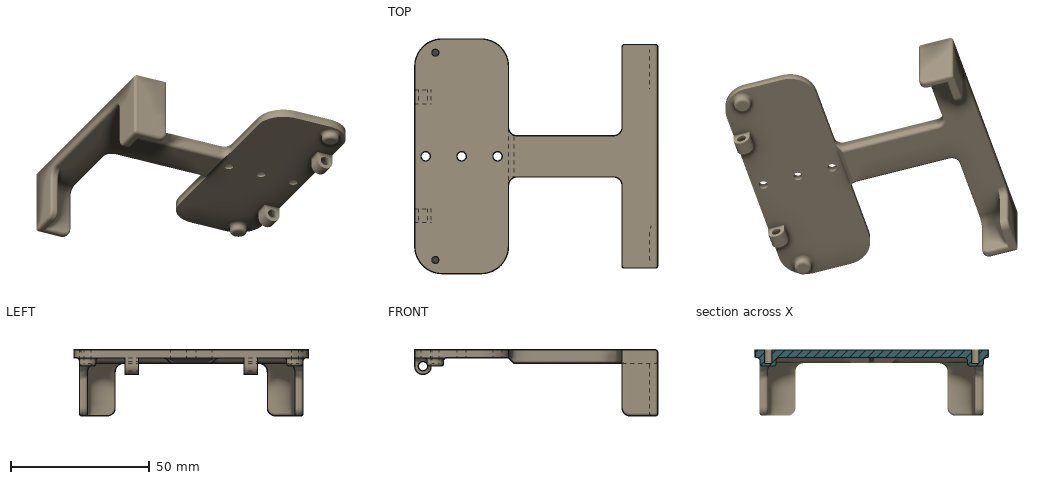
import cadquery as cq

PLATE_LENGTH = 34.0
PLATE_WIDTH = 85.0
PLATE_THICKNESS = 3.0
PLATE_CORNER_RADIUS = 10.0

ROW_HOLE_DIAMETER = 3.3
ROW_HOLE_FIRST_X = 4.0
ROW_HOLE_PITCH = 13.0
ROW_HOLE_COUNT = 3

BOSS_X = 7.5
BOSS_OFFSET_Y = 37.5
BOSS_DIAMETER = 6.0
BOSS_HEIGHT = 3.0
BOSS_ROUNDING = 1.0
BOSS_HOLE_DIAMETER = 2.5
BOSS_HOLE_DEPTH = 5.0

LUG_OFFSET_Y = 21.5
LUG_WIDTH = 5.0
LUG_RADIUS = 3.0
LUG_AXIS_Z = -6.0
LUG_HOLE_DIAMETER = 3.3

ARM_WIDTH = 15.0
ARM_THICKNESS = 5.0
ARM_CORNER_RADIUS = 3.0

TOTAL_LENGTH = 88.0
BRACKET_LENGTH = 13.0
BRACKET_WIDTH = 81.0
BRACKET_HEIGHT = 24.0
LEG_WALL = 3.0
LEG_CORNER_RADIUS = 3.0
LEG_PANEL_WIDTH = 13.0
EDGE_ROUNDING = 1.0

BRACKET_X = TOTAL_LENGTH - BRACKET_LENGTH
PANEL_X = TOTAL_LENGTH - LEG_WALL
SIDES = (-1, 1)


def box(x_range, y_range, z_range):
    """Axis-aligned box spanning the given (low, high) ranges."""
    lows, highs = zip(x_range, y_range, z_range)
    sizes = [high - low for low, high in zip(lows, highs)]
    return cq.Workplane("XY").box(*sizes, centered=False).translate(lows)


def centred(width):
    """Range of the given width centred on zero."""
    return (-width / 2, width / 2)


def make_arch():
    """Crossbar and the two side walls, open at the bottom."""
    arch = box((BRACKET_X, TOTAL_LENGTH), centred(BRACKET_WIDTH), (-BRACKET_HEIGHT, 0))
    opening = box(
        (BRACKET_X, TOTAL_LENGTH),
        centred(BRACKET_WIDTH - 2 * LEG_WALL),
        (-BRACKET_HEIGHT, -ARM_THICKNESS),
    )
    opening = opening.edges("|X and >Z").fillet(LEG_CORNER_RADIUS)
    arch = arch.cut(opening)
    return arch.edges("|Y and <X and <Z").fillet(LEG_CORNER_RADIUS)


def make_arm_and_arch():
    """Arm blended into the arch, with the lower and outer edges on the -X side rounded."""
    plate_block = box((0, PLATE_LENGTH), centred(PLATE_WIDTH), (-ARM_THICKNESS, 0))
    arm = box((PLATE_LENGTH, BRACKET_X), centred(ARM_WIDTH), (-ARM_THICKNESS, 0))
    body = make_arch().union(arm).union(plate_block)

    for x in (PLATE_LENGTH, BRACKET_X):
        for side in SIDES:
            corner = (x, side * ARM_WIDTH / 2, -ARM_THICKNESS / 2)
            body = body.edges(cq.NearestToPointSelector(corner)).fillet(ARM_CORNER_RADIUS)

    arm_middle_x = (PLATE_LENGTH + BRACKET_X) / 2
    for side in SIDES:
        inner_edge = (arm_middle_x, side * ARM_WIDTH / 2, -ARM_THICKNESS)
        outer_edge = (BRACKET_X, side * BRACKET_WIDTH / 2, -BRACKET_HEIGHT / 2)
        for point in (inner_edge, outer_edge):
            body = body.edges(cq.NearestToPointSelector(point)).fillet(EDGE_ROUNDING)

    ramp = ARM_THICKNESS - PLATE_THICKNESS
    clearance = (
        cq.Workplane("XZ", origin=(0, PLATE_WIDTH / 2, 0))
        .lineTo(PLATE_LENGTH, 0)
        .lineTo(PLATE_LENGTH, -PLATE_THICKNESS)
        .lineTo(PLATE_LENGTH + ramp, -ARM_THICKNESS)
        .lineTo(0, -ARM_THICKNESS)
        .close()
        .extrude(PLATE_WIDTH)
    )
    return body.cut(clearance)


def make_panel(side):
    """Back panel of one leg (side -1 or +1 along Y), flaring into the crossbar at its inner top corner."""
    outer_y = side * BRACKET_WIDTH / 2
    inner_y = outer_y - side * LEG_PANEL_WIDTH
    flare_y = inner_y - side * LEG_CORNER_RADIUS
    buried_y = flare_y - side * LEG_WALL
    panel = (
        cq.Workplane("YZ", origin=(PANEL_X, 0, 0))
        .moveTo(outer_y, -EDGE_ROUNDING)
        .lineTo(outer_y, -BRACKET_HEIGHT)
        .lineTo(inner_y + side * LEG_CORNER_RADIUS, -BRACKET_HEIGHT)
        .radiusArc((inner_y, -BRACKET_HEIGHT + LEG_CORNER_RADIUS), side * LEG_CORNER_RADIUS)
        .lineTo(inner_y, -ARM_THICKNESS - LEG_CORNER_RADIUS)
        .radiusArc((flare_y, -ARM_THICKNESS), side * -LEG_CORNER_RADIUS)
        .lineTo(buried_y, -ARM_THICKNESS)
        .lineTo(buried_y, -EDGE_ROUNDING)
        .close()
        .extrude(LEG_WALL)
    )
    if side < 0:
        inner_edge = (PANEL_X, inner_y, -BRACKET_HEIGHT / 2)
        panel = panel.edges(cq.NearestToPointSelector(inner_edge)).fillet(EDGE_ROUNDING)
    outer_corner = (PANEL_X + LEG_WALL / 2, outer_y, -BRACKET_HEIGHT)
    return panel.edges(cq.NearestToPointSelector(outer_corner)).fillet(EDGE_ROUNDING)


def make_frame():
    """Arm and complete end bracket, with the outline of its +X face rounded."""
    frame = make_arm_and_arch()
    for side in SIDES:
        frame = frame.union(make_panel(side))
    return frame.clean().faces(">X").edges().fillet(EDGE_ROUNDING)


def make_plate():
    """Flat plate with rounded corners."""
    plate = box((0, PLATE_LENGTH), centred(PLATE_WIDTH), (-PLATE_THICKNESS, 0))
    return plate.edges("|Z").fillet(PLATE_CORNER_RADIUS)


def add_bosses(plate):
    """Add the bosses, rounded at base and rim, and drill their blind holes."""
    centres = [(BOSS_X, side * BOSS_OFFSET_Y) for side in SIDES]
    bosses = (
        cq.Workplane("XY", origin=(0, 0, -PLATE_THICKNESS))
        .pushPoints(centres)
        .circle(BOSS_DIAMETER / 2)
        .extrude(-BOSS_HEIGHT)
    )
    plate = plate.union(bosses)
    for x, y in centres:
        for z in (-PLATE_THICKNESS, -PLATE_THICKNESS - BOSS_HEIGHT):
            rim = cq.NearestToPointSelector((x, y, z))
            plate = plate.edges("%CIRCLE").edges(rim).fillet(BOSS_ROUNDING)
    holes = (
        cq.Workplane("XY")
        .pushPoints(centres)
        .circle(BOSS_HOLE_DIAMETER / 2)
        .extrude(-BOSS_HOLE_DEPTH)
    )
    return plate.cut(holes)


def make_lug(side):
    """Hinge lug with a rounded lower end and a hole along Y."""
    profile_plane = cq.Workplane("XZ", origin=(0, side * LUG_OFFSET_Y + LUG_WIDTH / 2, 0))
    return (
        profile_plane.moveTo(0, -PLATE_THICKNESS)
        .lineTo(0, LUG_AXIS_Z)
        .threePointArc((LUG_RADIUS, LUG_AXIS_Z - LUG_RADIUS), (2 * LUG_RADIUS, LUG_AXIS_Z))
        .lineTo(2 * LUG_RADIUS, -PLATE_THICKNESS)
        .close()
        .moveTo(LUG_RADIUS, LUG_AXIS_Z)
        .circle(LUG_HOLE_DIAMETER / 2)
        .extrude(LUG_WIDTH)
    )


def drill_row_holes(body):
    """Drill the row of through holes along the plate's centreline."""
    centres = [(ROW_HOLE_FIRST_X + i * ROW_HOLE_PITCH, 0) for i in range(ROW_HOLE_COUNT)]
    holes = (
        cq.Workplane("XY")
        .pushPoints(centres)
        .circle(ROW_HOLE_DIAMETER / 2)
        .extrude(-PLATE_THICKNESS)
    )
    return body.cut(holes)


def make_part():
    """Join the frame, plate and lugs into one solid."""
    body = make_frame().union(add_bosses(make_plate()))
    for side in SIDES:
        body = body.union(make_lug(side))
    return drill_row_holes(body)


result = make_part()